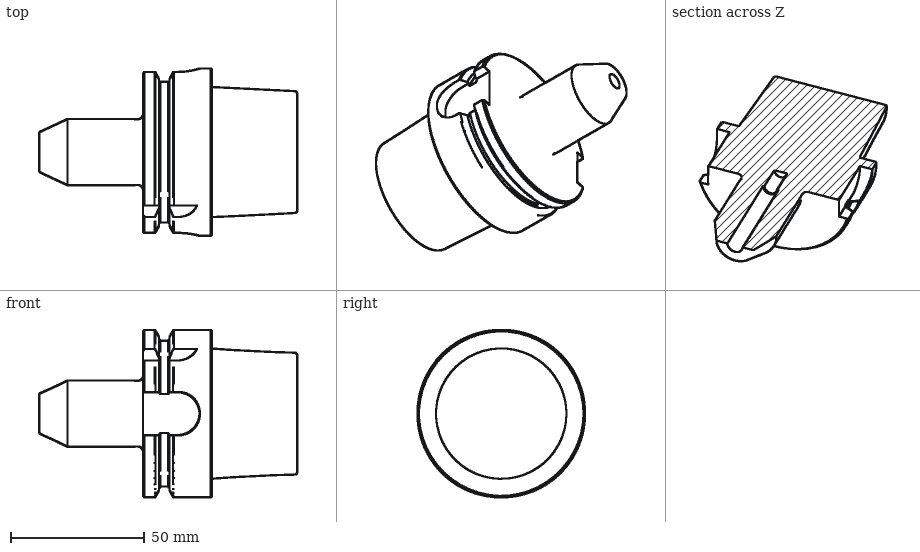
import cadquery as cq
import math


TIP_X = -65.0
FLANGE_LENGTH = 26.0
FLANGE_FRONT_X = -FLANGE_LENGTH
TAPER_LENGTH = 32.0

NOSE_RADIUS = 12.5
TIP_RADIUS = 7.5
TIP_CONE_ANGLE = 25.0
TIP_ROUND = 0.8

RELIEF_RADIUS = 24.8 / 2
RELIEF_START_X = -29.35
RELIEF_RUN_IN_ANGLE = 15.0
RELIEF_FILLET = 2.0
RELIEF_FACE_DEPTH = 0.1
RELIEF_FACE_RADIUS = 15.65

FLANGE_RADIUS = 31.5
FLANGE_CHAMFER = 0.6
GROOVE_X = -18.0
GROOVE_FLOOR_RADIUS = 27.5
GROOVE_FLOOR_HALF_WIDTH = 1.9
GROOVE_HALF_WIDTH = 3.45
GROOVE_WALL_ANGLE = 30.0
GROOVE_ROUND = 0.5

TAPER_BASE_RADIUS = 24.5
TAPER_RADIUS_RATE = 0.05
TAPER_END_ROUND = 1.1

KEYWAY_FLOOR = 26.5
KEYWAY_END_X = -4.8
KEYWAY_END_RADIUS = 8.0
NARROW_KEYWAY_WIDTH = 2 * KEYWAY_END_RADIUS
WIDE_KEYWAY_WIDTH = 18.0
NARROW_KEYWAY_CHAMFER = 0.2

NOTCH_WALL_Y = -20.0
NOTCH_FLOOR_Z = 20.0

BORE_DIAMETER = 6.0
BORE_DEPTH = 36.0
STOP_HOLE_DIAMETER = 5.0
STOP_HOLE_DEPTH = 46.0

CLEARANCE = 2.0
EDGE_TOLERANCE = 0.01


def tan_deg(angle):
    return math.tan(math.radians(angle))


def rounded_corner(before, corner, after, radius):
    """Start, middle and end of the arc that rounds a corner between two straight lines."""
    corner_vector = cq.Vector(*corner)
    to_before = (cq.Vector(*before) - corner_vector).normalized()
    to_after = (cq.Vector(*after) - corner_vector).normalized()
    half_angle = to_before.getAngle(to_after) / 2
    setback = radius / math.tan(half_angle)
    middle_distance = radius / math.sin(half_angle) - radius
    middle = corner_vector + (to_before + to_after).normalized() * middle_distance
    arc_points = (corner_vector + to_before * setback, middle, corner_vector + to_after * setback)
    return [(point.x, point.y) for point in arc_points]


def revolved_profile(corners):
    """Revolve (x, radius, rounding) corners about X; the first and last corners lie on the axis."""
    points = [(x, radius) for x, radius, _ in corners]
    profile = cq.Workplane("XY").moveTo(*points[0])
    for index in range(1, len(corners) - 1):
        rounding = corners[index][2]
        if rounding == 0:
            profile = profile.lineTo(*points[index])
        else:
            start, middle, end = rounded_corner(*points[index - 1:index + 2], rounding)
            profile = profile.lineTo(*start).threePointArc(middle, end)
    profile = profile.lineTo(*points[-1]).close()
    return profile.revolve(360, (0, 0, 0), (1, 0, 0))


def turned_body():
    cone_end_x = TIP_X + (NOSE_RADIUS - TIP_RADIUS) / tan_deg(TIP_CONE_ANGLE)
    relief_flat_x = RELIEF_START_X + (NOSE_RADIUS - RELIEF_RADIUS) / tan_deg(RELIEF_RUN_IN_ANGLE)
    wall_rise = (GROOVE_HALF_WIDTH - GROOVE_FLOOR_HALF_WIDTH) / tan_deg(GROOVE_WALL_ANGLE)
    wall_foot_radius = FLANGE_RADIUS - wall_rise
    chamfered_radius = FLANGE_RADIUS - FLANGE_CHAMFER
    taper_end_radius = TAPER_BASE_RADIUS - TAPER_LENGTH * TAPER_RADIUS_RATE

    nose = [
        (TIP_X, 0, 0),
        (TIP_X, TIP_RADIUS, TIP_ROUND),
        (cone_end_x, NOSE_RADIUS, 0),
        (RELIEF_START_X, NOSE_RADIUS, 0),
        (relief_flat_x, RELIEF_RADIUS, 0),
        (FLANGE_FRONT_X + RELIEF_FACE_DEPTH, RELIEF_RADIUS, RELIEF_FILLET),
        (FLANGE_FRONT_X, RELIEF_FACE_RADIUS, 0),
    ]
    flange = [
        (FLANGE_FRONT_X, chamfered_radius, 0),
        (FLANGE_FRONT_X + FLANGE_CHAMFER, FLANGE_RADIUS, 0),
        (GROOVE_X - GROOVE_HALF_WIDTH, FLANGE_RADIUS, GROOVE_ROUND),
        (GROOVE_X - GROOVE_FLOOR_HALF_WIDTH, wall_foot_radius, 0),
        (GROOVE_X - GROOVE_FLOOR_HALF_WIDTH, GROOVE_FLOOR_RADIUS, GROOVE_ROUND),
        (GROOVE_X + GROOVE_FLOOR_HALF_WIDTH, GROOVE_FLOOR_RADIUS, GROOVE_ROUND),
        (GROOVE_X + GROOVE_FLOOR_HALF_WIDTH, wall_foot_radius, 0),
        (GROOVE_X + GROOVE_HALF_WIDTH, FLANGE_RADIUS, GROOVE_ROUND),
        (-FLANGE_CHAMFER, FLANGE_RADIUS, 0),
        (0, chamfered_radius, 0),
    ]
    taper = [
        (0, TAPER_BASE_RADIUS, 0),
        (TAPER_LENGTH, taper_end_radius, TAPER_END_ROUND),
        (TAPER_LENGTH, 0, 0),
    ]
    return revolved_profile(nose + flange + taper)


def keyway_cutter(side, width):
    """Slot open to the flange front with a rounded far end; side is -1 for -Y and +1 for +Y."""
    half_width = width / 2
    half_flat = half_width - KEYWAY_END_RADIUS
    arc_x = KEYWAY_END_X - KEYWAY_END_RADIUS
    start_x = FLANGE_FRONT_X - CLEARANCE
    arc_reach = KEYWAY_END_RADIUS * math.sqrt(0.5)
    outline = (
        cq.Workplane("XZ", origin=(0, side * KEYWAY_FLOOR, 0))
        .moveTo(start_x, -half_width)
        .lineTo(arc_x, -half_width)
        .threePointArc((arc_x + arc_reach, -half_flat - arc_reach), (KEYWAY_END_X, -half_flat))
    )
    if half_flat > 0:
        outline = outline.lineTo(KEYWAY_END_X, half_flat)
    outline = (
        outline.threePointArc((arc_x + arc_reach, half_flat + arc_reach), (arc_x, half_width))
        .lineTo(start_x, half_width)
        .close()
    )
    depth = FLANGE_RADIUS - KEYWAY_FLOOR + CLEARANCE
    return outline.extrude(-side * depth)


def notch_cutter():
    """Corner notch whose floor sweeps up along an arc at its far end."""
    arc_x = KEYWAY_END_X - KEYWAY_END_RADIUS
    start_x = FLANGE_FRONT_X - CLEARANCE
    arc_reach = KEYWAY_END_RADIUS * math.sqrt(0.5)
    arc_centre_z = NOTCH_FLOOR_Z + KEYWAY_END_RADIUS
    return (
        cq.Workplane("XZ", origin=(0, NOTCH_WALL_Y, 0))
        .moveTo(start_x, NOTCH_FLOOR_Z)
        .lineTo(arc_x, NOTCH_FLOOR_Z)
        .threePointArc((arc_x + arc_reach, arc_centre_z - arc_reach), (KEYWAY_END_X, arc_centre_z))
        .lineTo(start_x, arc_centre_z)
        .close()
        .extrude(FLANGE_RADIUS + NOTCH_WALL_Y)
    )


def bore_cutter(diameter, depth):
    return cq.Workplane("YZ", origin=(TIP_X, 0, 0)).circle(diameter / 2).extrude(depth)


def chamfer_narrow_keyway(body):
    """Break the edges where the -Y keyway meets the outer cylinder of the flange."""
    half_width = NARROW_KEYWAY_WIDTH / 2
    inner_y = -math.sqrt(FLANGE_RADIUS**2 - half_width**2)
    rim_zone = cq.selectors.BoxSelector(
        (FLANGE_FRONT_X, -FLANGE_RADIUS - EDGE_TOLERANCE, -half_width - EDGE_TOLERANCE),
        (0, inner_y + EDGE_TOLERANCE, half_width + EDGE_TOLERANCE),
        boundingbox=True,
    )
    return body.edges(rim_zone).chamfer(NARROW_KEYWAY_CHAMFER)


flange_with_keyways = (
    turned_body()
    .cut(keyway_cutter(-1, NARROW_KEYWAY_WIDTH))
    .cut(keyway_cutter(1, WIDE_KEYWAY_WIDTH))
)
result = (
    chamfer_narrow_keyway(flange_with_keyways)
    .cut(notch_cutter())
    .cut(bore_cutter(BORE_DIAMETER, BORE_DEPTH))
    .cut(bore_cutter(STOP_HOLE_DIAMETER, STOP_HOLE_DEPTH))
)